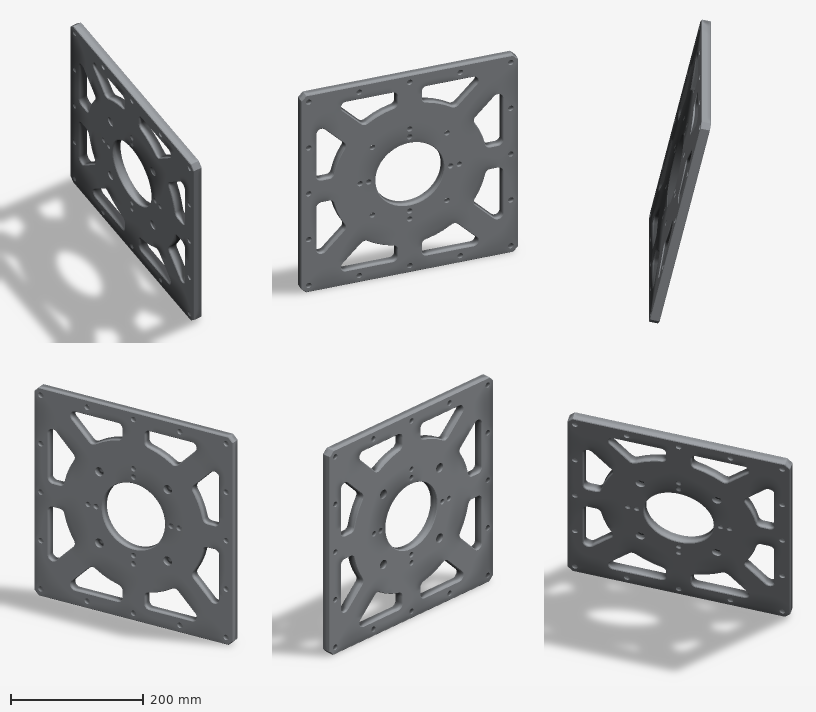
import cadquery as cq
import math

plate_side = 350.0
plate_thickness = 15.0
corner_chamfer = 8.0
edge_break = 1.0

bore_diameter = 110.0

frame_width = 25.0
straight_rib_half = 20.0
diagonal_rib_half = 20.0
hub_radius = 125.0
pocket_corner_radius = 8.0

border_hole_diameter = 9.0
border_hole_inset = 12.0
border_holes_per_side = 5

bolt_circle_radius = 85.0
bolt_hole_diameter = 9.0
counterbore_diameter = 15.0
counterbore_depth = 9.0

axis_hole_diameter = 7.0
axis_hole_radii = (66.0, 80.0)
flare_angle = 45.0

half_side = plate_side / 2
half_thickness = plate_thickness / 2


def front_plane(workplane_y=-half_thickness):
    """Workplane with local x along X, local y along Z and its normal along -Y.

    It lies on the front (-Y) face unless another Y is given.
    """
    return cq.Workplane("XZ", origin=(0, workplane_y, 0))


def cylinders(points, diameter, depth):
    """Cylinders running into the plate from its front (-Y) face."""
    return front_plane().pushPoints(points).circle(diameter / 2).extrude(-depth)


def break_rims(body):
    """Chamfer every rim of the front and back faces."""
    return body.faces("<Y or >Y").edges().chamfer(edge_break)


def flared_holes(points, diameter):
    """Through-hole cutters that widen by the edge break at both faces."""
    holes = cylinders(points, diameter, plate_thickness)
    flare_diameter = diameter + 2 * edge_break
    for face_y, inward_sign in ((-half_thickness, -1), (half_thickness, 1)):
        flares = (
            front_plane(face_y)
            .pushPoints(points)
            .circle(flare_diameter / 2)
            .extrude(inward_sign * edge_break, taper=flare_angle)
        )
        holes = holes.union(flares)
    return holes


def make_blank():
    return (
        front_plane()
        .rect(plate_side, plate_side)
        .extrude(-plate_thickness)
        .edges("|Y")
        .chamfer(corner_chamfer)
    )


def make_pocket():
    """The pocket above the hub, between the +Z rib and the diagonal rib."""
    outer_z = half_side - frame_width
    diagonal_shift = diagonal_rib_half * math.sqrt(2)
    hub_left_z = math.sqrt(hub_radius**2 - straight_rib_half**2)
    hub_right_angle = math.pi / 4 + math.asin(diagonal_rib_half / hub_radius)
    hub_left_angle = math.atan2(hub_left_z, straight_rib_half)
    middle_angle = (hub_left_angle + hub_right_angle) / 2

    def on_hub(angle):
        return (hub_radius * math.cos(angle), hub_radius * math.sin(angle))

    return (
        front_plane()
        .moveTo(straight_rib_half, hub_left_z)
        .lineTo(straight_rib_half, outer_z)
        .lineTo(outer_z - diagonal_shift, outer_z)
        .lineTo(*on_hub(hub_right_angle))
        .threePointArc(on_hub(middle_angle), (straight_rib_half, hub_left_z))
        .close()
        .extrude(-plate_thickness)
        .edges("|Y")
        .fillet(pocket_corner_radius)
    )


def cut_pockets(plate):
    pocket = make_pocket()
    for quarter in range(4):
        for shape in (pocket, pocket.mirror("YZ")):
            plate = plate.cut(shape.rotate((0, 0, 0), (0, 1, 0), 90 * quarter))
    return plate


def border_points():
    """Evenly spaced points on the square ring of border holes."""
    reach = half_side - border_hole_inset
    pitch = 2 * reach / (border_holes_per_side - 1)
    steps = [-reach + pitch * index for index in range(border_holes_per_side)]
    return [(x, z) for x in steps for z in steps if max(abs(x), abs(z)) == reach]


def axis_points():
    points = []
    for radius in axis_hole_radii:
        points += [(radius, 0), (-radius, 0), (0, radius), (0, -radius)]
    return points


def bolt_points():
    offset = bolt_circle_radius / math.sqrt(2)
    return [(x, z) for x in (-offset, offset) for z in (-offset, offset)]


plate = cut_pockets(make_blank())
plate = plate.cut(cylinders([(0, 0)], bore_diameter, plate_thickness))
plate = break_rims(plate)
plate = plate.cut(cylinders(border_points(), border_hole_diameter, plate_thickness))
plate = plate.cut(cylinders(bolt_points(), bolt_hole_diameter, plate_thickness))
plate = plate.cut(cylinders(bolt_points(), counterbore_diameter, counterbore_depth))
result = plate.cut(flared_holes(axis_points(), axis_hole_diameter))